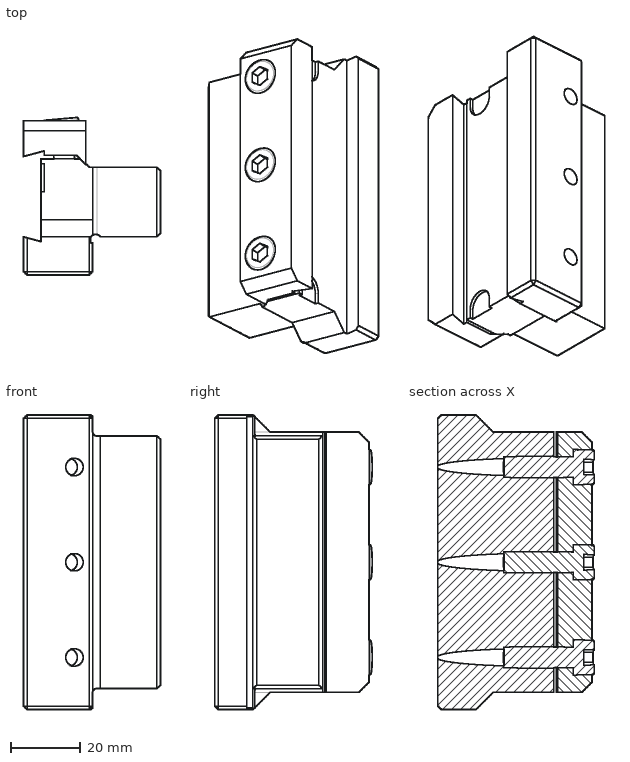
import cadquery as cq
import math

OVERALL_X = 39.5
OVERALL_Y = 45.5
OVERALL_Z = 85.0
EDGE_CHAMFER = 1.0

JAW_WIDTH = 20.0
JAW_TOP_Y = 11.05
JAW_ANGLE = 15.0

SEAT_X = 5.0
STEM_TOP_Y = 33.5
STEM_HALF_Z = 37.6
STEM_CHAMFER_END_X = 19.0
SHOULDER_RISE = OVERALL_Z / 2 - STEM_HALF_Z

SHANK_Y0 = JAW_TOP_Y
SHANK_Y1 = 31.1
SHANK_HALF_Z = 36.5
ROOT_FILLET = STEM_HALF_Z - SHANK_HALF_Z

RELIEF_JAW_DEPTH = 0.5
RELIEF_SHANK_DEPTH = 0.7
RELIEF_START_Y = 9.3
RELIEF_END_X = 22.2

POCKET_RADIUS = 4.0
POCKET_DEPTH = 1.0
POCKET_Y = 28.05
POCKET_CENTRE_Z = 34.4

CLAMP_WIDTH = 18.0
CLAMP_TOP_Y = 44.5
CLAMP_LIP_Y = 34.2
CLAMP_STEP_X = 5.95
CLAMP_FACE_Y = 34.5
CLAMP_HEEL_X = 15.3
CLAMP_CHAMFER = 3.0

SCREW_TILT = 5.0
SCREW_PITCH = 27.45
SCREW_DIAMETER = 6.0
SCREW_LENGTH = 20.0
HEAD_DIAMETER = 10.2
HEAD_HEIGHT = 6.0
HEAD_FILLET = 0.6
SOCKET_ACROSS_FLATS = 5.0
SOCKET_DEPTH = 3.0
SOCKET_TURN = 30.0
PILOT_DIAMETER = 5.0
PILOT_EXIT_X = 14.7
CUT_MARGIN = 1.7

TILT_SIN = math.sin(math.radians(SCREW_TILT))
TILT_COS = math.cos(math.radians(SCREW_TILT))
TILT_TAN = math.tan(math.radians(SCREW_TILT))
JAW_TAN = math.tan(math.radians(JAW_ANGLE))

RIM_RISE = (HEAD_DIAMETER / 2 - HEAD_FILLET) * TILT_SIN + HEAD_FILLET * (1 - TILT_COS)
HEAD_TOP_Y = OVERALL_Y - RIM_RISE
HEAD_TOP_X = PILOT_EXIT_X - HEAD_TOP_Y * TILT_TAN


def box_between(x0, x1, y0, y1, half_z):
    """Box from corner to corner in XY, symmetric about Z = 0."""
    return cq.Workplane("XY").box(x1 - x0, y1 - y0, 2 * half_z).translate(((x0 + x1) / 2, (y0 + y1) / 2, 0))


def prism_along_z(outline, half_z):
    """Extrude an XY outline symmetrically about Z = 0."""
    return cq.Workplane("XY").polyline(outline).close().extrude(half_z, both=True)


def screw_plane(z, axial_offset=0.0):
    """Plane across a screw axis; the normal points out of the head, the origin starts at the head top."""
    origin = (HEAD_TOP_X - axial_offset * TILT_SIN, HEAD_TOP_Y + axial_offset * TILT_COS, z)
    return cq.Workplane(cq.Plane(origin=origin, xDir=(TILT_COS, TILT_SIN, 0), normal=(-TILT_SIN, TILT_COS, 0)))


def screw_shaft(z):
    shaft_end = -(HEAD_HEIGHT + SCREW_LENGTH)
    return screw_plane(z, shaft_end).circle(SCREW_DIAMETER / 2).extrude(SCREW_LENGTH)


def make_screw(z):
    """Socket head cap screw with a rounded head rim; the hexagon has flats facing along X."""
    head = screw_plane(z, -HEAD_HEIGHT).circle(HEAD_DIAMETER / 2).extrude(HEAD_HEIGHT)
    head = head.faces(">Y").edges().fillet(HEAD_FILLET)
    socket_corner_diameter = SOCKET_ACROSS_FLATS / math.cos(math.radians(30))
    socket = (
        screw_plane(z)
        .transformed(rotate=(0, 0, SOCKET_TURN))
        .polygon(6, socket_corner_diameter)
        .extrude(-SOCKET_DEPTH)
    )
    return head.cut(socket).union(screw_shaft(z))


def clamp_screw_hole(z):
    """Shaft hole with a counterbore that is open at the back of the clamp."""
    counterbore = screw_plane(z, -HEAD_HEIGHT).circle(HEAD_DIAMETER / 2).extrude(HEAD_HEIGHT + CUT_MARGIN)
    return counterbore.union(screw_shaft(z))


def holder_screw_hole(z):
    """Threaded hole continued by a smaller pilot bore through the fixed jaw bar."""
    pilot_length = HEAD_TOP_Y / TILT_COS + CUT_MARGIN
    pilot = screw_plane(z, -pilot_length).circle(PILOT_DIAMETER / 2).extrude(pilot_length)
    return pilot.union(screw_shaft(z))


def make_clamp(screw_heights):
    heel_drop = CLAMP_WIDTH - CLAMP_HEEL_X
    outline = [
        (0, CLAMP_TOP_Y),
        (0, CLAMP_LIP_Y),
        (CLAMP_STEP_X, CLAMP_LIP_Y + CLAMP_STEP_X * JAW_TAN),
        (CLAMP_STEP_X, CLAMP_FACE_Y),
        (CLAMP_HEEL_X, CLAMP_FACE_Y),
        (CLAMP_WIDTH, CLAMP_FACE_Y - heel_drop),
        (CLAMP_WIDTH, CLAMP_TOP_Y),
    ]
    clamp = prism_along_z(outline, STEM_HALF_Z)
    clamp = clamp.faces(">Y").edges("|X").chamfer(CLAMP_CHAMFER)
    for z in screw_heights:
        clamp = clamp.cut(clamp_screw_hole(z))
    return clamp


def jaw_bar():
    """Bar chamfered all round except where it joins the stem, with a sloped jaw lip."""
    bar = box_between(0, JAW_WIDTH, 0, JAW_TOP_Y, OVERALL_Z / 2)
    bar = bar.edges("not >Y").chamfer(EDGE_CHAMFER)
    lip_cut = [(0, JAW_TOP_Y), (SEAT_X, JAW_TOP_Y), (SEAT_X, JAW_TOP_Y - SEAT_X * JAW_TAN)]
    return bar.cut(prism_along_z(lip_cut, OVERALL_Z))


def stem():
    """Blade seat column with a chamfered back corner and 45 degree shoulders at the jaw bar."""
    chamfer = STEM_TOP_Y - SHANK_Y1
    outline = [
        (SEAT_X, JAW_TOP_Y),
        (SEAT_X, STEM_TOP_Y),
        (STEM_CHAMFER_END_X - chamfer, STEM_TOP_Y),
        (STEM_CHAMFER_END_X, SHANK_Y1),
        (JAW_WIDTH, SHANK_Y1),
        (JAW_WIDTH, JAW_TOP_Y),
    ]
    shoulders = (
        cq.Workplane("YZ", origin=(SEAT_X, 0, 0))
        .moveTo(JAW_TOP_Y, -OVERALL_Z / 2)
        .lineTo(JAW_TOP_Y + SHOULDER_RISE, -STEM_HALF_Z)
        .lineTo(JAW_TOP_Y + SHOULDER_RISE, STEM_HALF_Z)
        .lineTo(JAW_TOP_Y, OVERALL_Z / 2)
        .close()
        .extrude(JAW_WIDTH - SEAT_X)
    )
    return prism_along_z(outline, STEM_HALF_Z).union(shoulders)


def shank():
    """Rectangular shank with a chamfered end and fillets where its Z faces meet the stem."""
    block = box_between(JAW_WIDTH, OVERALL_X, SHANK_Y0, SHANK_Y1, SHANK_HALF_Z)
    block = block.faces(">X").edges().chamfer(EDGE_CHAMFER)
    root = box_between(JAW_WIDTH, JAW_WIDTH + ROOT_FILLET, SHANK_Y0, SHANK_Y1, STEM_HALF_Z)
    for z in (-STEM_HALF_Z, STEM_HALF_Z):
        hollow = (
            cq.Workplane("XZ", origin=(JAW_WIDTH + ROOT_FILLET, SHANK_Y1, z))
            .circle(ROOT_FILLET)
            .extrude(SHANK_Y1 - SHANK_Y0)
        )
        root = root.cut(hollow)
    return block.union(root)


def relief_groove():
    """Rounded undercut into the jaw bar and the shank."""
    side_x = JAW_WIDTH - RELIEF_JAW_DEPTH
    crest = ((side_x + RELIEF_END_X) / 2, SHANK_Y0 + RELIEF_SHANK_DEPTH)
    return (
        cq.Workplane("XY")
        .moveTo(side_x, RELIEF_START_Y)
        .lineTo(side_x, SHANK_Y0)
        .threePointArc(crest, (RELIEF_END_X, SHANK_Y0))
        .lineTo(RELIEF_END_X, RELIEF_START_Y)
        .close()
        .extrude(OVERALL_Z, both=True)
    )


def seat_pocket(end):
    """U-shaped pocket open at the +Z (end = 1) or -Z (end = -1) end of the seat."""
    length = OVERALL_Z / 2 - POCKET_CENTRE_Z
    seat_plane = cq.Workplane("YZ", origin=(SEAT_X, POCKET_Y, end * POCKET_CENTRE_Z))
    round_end = seat_plane.circle(POCKET_RADIUS).extrude(POCKET_DEPTH)
    opening = seat_plane.center(0, end * length / 2).rect(2 * POCKET_RADIUS, length).extrude(POCKET_DEPTH)
    return round_end.union(opening)


def make_holder(screw_heights, clamp):
    holder = jaw_bar().union(stem()).union(shank())
    holder = holder.cut(relief_groove())
    for end in (-1, 1):
        holder = holder.cut(seat_pocket(end))
    for z in screw_heights:
        holder = holder.cut(holder_screw_hole(z))
    return holder.cut(clamp)


screw_heights = [-SCREW_PITCH, 0.0, SCREW_PITCH]
clamp = make_clamp(screw_heights)
holder = make_holder(screw_heights, clamp)
screws = [make_screw(z).val() for z in screw_heights]

result = cq.Compound.makeCompound([holder.val(), clamp.val(), *screws])